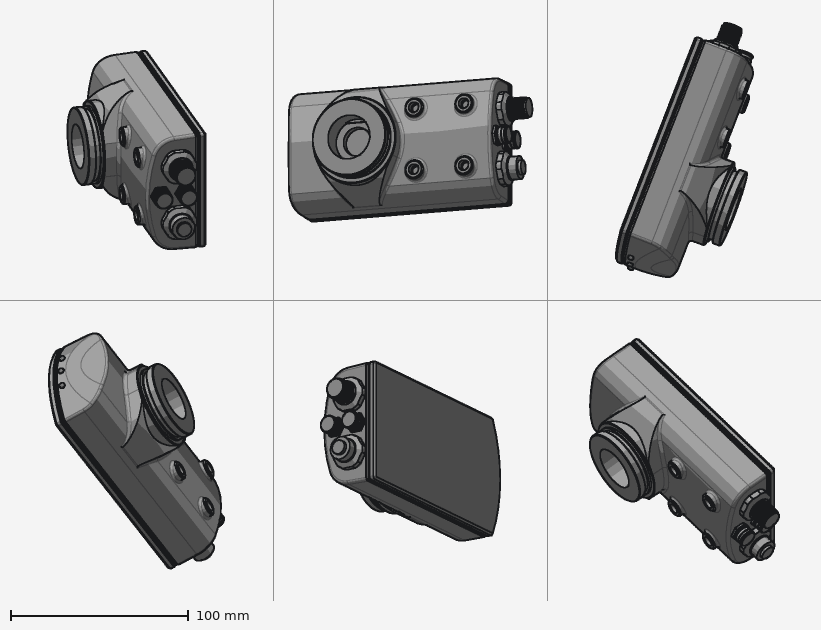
import cadquery as cq
import math


half_height = 35.1
right_end = 78.5
bow_corner_x = -41.8
bow_apex_x = -49.9
front_depth = 35.2
side_draft = 0.7
shoulder_depth = 27.9
shoulder_radius = 13.6
end_slope = 21.4
end_slope_depth = 32.6
end_slope_x = -43.5
end_blend = 24.9
end_edge_radius = 1.8

cover_thickness = 4.2
cover_back_chamfer = 1.2
cover_front_chamfer = 0.6
gap_width = 0.7
gap_inset = 0.6
lip_depth = 1.2
lip_inset = 0.3
gap_front = cover_thickness + gap_width
body_back = gap_front + lip_depth

collar_radius = 24.9
collar_front = 44.0
collar_blend = 1.9
collar_chamfer = 0.5
flange_radius = 22.1
neck_radius = 20.5
neck_back = 45.3
flange_back = 48.0
lens_front = 52.5
flange_chamfer = 0.5
bore_radius = 12.6
bore_depth = 13.2
lens_radius = 8.2
lens_depth = 4.4
ledge_height = 10.8
ledge_thickness = 1.5

wing_half_width = 7.7
wing_start_angle = 24.0
wing_tip_height = 33.9
wing_tip_depth = 23.7
wing_mid_height = 29.1
wing_mid_depth = 33.5
wing_root_height = 16.0

boss_xs = (32.9, 62.9)
boss_z = 17.8
boss_tip = 36.5
boss_radius = 5.4
boss_blend = 1.5
boss_chamfer = 0.7
boss_hole_radius = 2.9
boss_hole_depth = 4.4
boss_hole_chamfer = 0.6

lamp_radius = 1.6
lamp_depth = 9.4
lamp_tip_x = -51.5
lamp_rounding = 0.9
lamp_pitch = 12.7
lamp_setback = 1.0

connector_depth = 16.4
connector_z = 17.1
nut_radius = 10.0
nut_flat = 9.5
nut_length = 5.8
nut_cone_start = 3.2
nut_top_radius = 6.9
nut_rim_length = 0.7
plug_end = 94.7
plug_radius = 6.0
plug_tip_radius = 5.4
thread_end = 94.0
thread_pitch = 1.0
thread_depth = 0.6
socket_end = 89.3
socket_radius = 6.6
socket_core_end = 91.2
socket_core_radius = 4.1
port_depths = (12.5, 26.8)
port_flat = 5.1
port_hex_length = 1.5
port_end = 86.5
port_radius = 5.0
port_groove_radius = 4.5
port_groove_spans = ((1.6, 2.8), (5.0, 6.7))
port_chamfer = 0.5

mount_depth = 18.1
overlap = 2.9


def front_plane(depth):
    """Sketch plane facing -Y at a depth; local x is X and local y is Z."""
    return cq.Workplane("XZ", origin=(0, -depth, 0))


def disc(radius, back, front, x=0.0, z=0.0):
    """Cylinder along Y from depth back to depth front."""
    return front_plane(back).center(x, z).circle(radius).extrude(front - back)


def turned(points, depth, z):
    """Solid of revolution about an X axis line; points are (x, radius)."""
    outline = cq.Workplane("XY").polyline(points).close()
    return outline.revolve(360, (0, 0, 0), (1, 0, 0)).translate((0, -depth, z))


def plan(inset, back, front):
    """Slab with the bowed outline seen from the front."""
    half = half_height - inset
    return (
        front_plane(back)
        .moveTo(right_end - inset, -half)
        .lineTo(right_end - inset, half)
        .lineTo(bow_corner_x + inset, half)
        .threePointArc((bow_apex_x + inset, 0), (bow_corner_x + inset, -half))
        .close()
        .extrude(front - back)
    )


def make_body():
    """Housing with rounded cross-section and bowed, sloped left end."""
    side = half_height - side_draft
    section = (
        cq.Workplane("YZ", origin=(bow_apex_x, 0, 0))
        .moveTo(-body_back, half_height)
        .lineTo(-shoulder_depth, side)
        .threePointArc((-front_depth, 0), (-shoulder_depth, -side))
        .lineTo(-body_back, -half_height)
        .close()
        .extrude(right_end - bow_apex_x)
    )
    section = section.edges("|X and (not >Y)").fillet(shoulder_radius)

    block = plan(0, body_back, lens_front)
    slope = math.tan(math.radians(end_slope))
    slope_front_x = end_slope_x + slope * (lens_front - end_slope_depth)
    slope_back_x = end_slope_x - slope * end_slope_depth
    wedge = (
        cq.Workplane("XY", origin=(0, 0, -half_height))
        .moveTo(slope_back_x, 0)
        .lineTo(slope_front_x, -lens_front)
        .lineTo(slope_back_x, -lens_front)
        .close()
        .extrude(2 * half_height)
    )
    block = block.cut(wedge)
    bend = cq.selectors.BoxSelector(
        (bow_apex_x - 1.5, -end_slope_depth - 1.5, -half_height + 1.5),
        (bow_corner_x, -body_back - 1.5, half_height - 1.5),
    )
    block = block.edges(bend).fillet(end_blend)
    return section.intersect(block)


def round_end_edges(body):
    """Round the rims of the left and right end faces."""
    beyond = 1.5
    right_box = cq.selectors.BoxSelector(
        (right_end - beyond, -lens_front, -half_height - beyond),
        (right_end + beyond, -body_back - overlap, half_height + beyond),
    )
    left_box = cq.selectors.BoxSelector(
        (bow_corner_x - overlap, -front_depth - beyond, -half_height - beyond),
        (bow_corner_x + beyond, -body_back - overlap, half_height + beyond),
    )
    body = body.edges(right_box).fillet(end_edge_radius)
    return body.edges(left_box).fillet(end_edge_radius)


def make_cover():
    """Back cover, the narrow gap in front of it and the lip of the housing."""
    cover = plan(0, 0, cover_thickness).edges("|Y").fillet(end_edge_radius)
    cover = cover.faces(">Y").edges().chamfer(cover_back_chamfer)
    cover = cover.faces("<Y").edges().chamfer(cover_front_chamfer)
    gap = plan(gap_inset, cover_thickness - overlap, gap_front + overlap)
    lip = plan(lip_inset, gap_front, body_back + overlap)
    seam = gap.union(lip).edges("|Y").fillet(end_edge_radius)
    return cover.union(seam)


def wing_outline():
    """Collar circle with arched wing sides tangent to it, carried past the top and bottom."""
    angle = math.radians(wing_start_angle)
    start_x = collar_radius * math.cos(angle)
    start_z = collar_radius * math.sin(angle)
    run = wing_half_width - start_x
    rise = wing_tip_height - start_z
    side_radius = -(run**2 + rise**2) / (2 * (run * math.cos(angle) + rise * math.sin(angle)))
    center_x = start_x - side_radius * math.cos(angle)
    center_z = start_z - side_radius * math.sin(angle)
    end_z = half_height + overlap
    end_x = center_x + math.sqrt(side_radius**2 - (end_z - center_z) ** 2)
    return (
        front_plane(body_back)
        .moveTo(start_x, start_z)
        .threePointArc((wing_half_width, wing_tip_height), (end_x, end_z))
        .lineTo(-end_x, end_z)
        .threePointArc((-wing_half_width, wing_tip_height), (-start_x, start_z))
        .threePointArc((-collar_radius, 0), (-start_x, -start_z))
        .threePointArc((-wing_half_width, -wing_tip_height), (-end_x, -end_z))
        .lineTo(end_x, -end_z)
        .threePointArc((wing_half_width, -wing_tip_height), (start_x, -start_z))
        .threePointArc((collar_radius, 0), (start_x, start_z))
        .close()
    )


def add_wings(body):
    """Wings with a blended foot, trimmed by a rounded front slope."""
    wing_front = collar_front - collar_chamfer
    winged = body.union(wing_outline().extrude(wing_front - body_back))
    margin = 1.5
    foot = cq.selectors.BoxSelector(
        (-collar_radius - margin, -front_depth - margin, -half_height - margin),
        (collar_radius + margin, margin - body_back, half_height + margin),
        boundingbox=True,
    )
    winged = winged.edges(foot).fillet(collar_blend)
    reach = collar_radius + collar_blend
    slope = (
        cq.Workplane("YZ", origin=(-reach, 0, 0))
        .moveTo(-mount_depth, wing_tip_height)
        .lineTo(-wing_tip_depth, wing_tip_height)
        .threePointArc((-wing_mid_depth, wing_mid_height), (-collar_front, wing_root_height))
        .lineTo(-collar_front, -wing_root_height)
        .threePointArc((-wing_mid_depth, -wing_mid_height), (-wing_tip_depth, -wing_tip_height))
        .lineTo(-mount_depth, -wing_tip_height)
        .close()
        .extrude(2 * reach)
    )
    return body.union(winged.intersect(slope))


def add_lens(body):
    """Collar, wings, grooved lens flange and stepped bore."""
    body = add_wings(body)
    collar = disc(collar_radius, mount_depth, collar_front).edges("<Y").chamfer(collar_chamfer)
    body = body.union(collar)
    body = body.union(disc(flange_radius, collar_front - overlap, neck_back))
    body = body.union(disc(neck_radius, collar_front, lens_front))
    flange = disc(flange_radius, flange_back, lens_front).edges().chamfer(flange_chamfer)
    body = body.union(flange)

    floor = lens_front - bore_depth
    bore = disc(bore_radius, floor, lens_front)
    ledge = front_plane(floor).center(0, ledge_height + bore_radius / 2)
    bore = bore.cut(ledge.rect(2 * bore_radius, bore_radius).extrude(ledge_thickness))
    return body.cut(bore).cut(disc(lens_radius, floor - lens_depth, floor))


def add_boss(body, x, z):
    """Mounting boss with a flared foot and a chamfered blind hole."""
    body = body.union(disc(boss_radius, mount_depth, boss_tip, x, z))
    reach = boss_radius + 0.7
    foot = cq.selectors.BoxSelector(
        (x - reach, boss_chamfer - boss_tip, z - reach), (x + reach, -mount_depth, z + reach)
    )
    body = body.edges(foot).edges("not %LINE").fillet(boss_blend)
    rim = cq.selectors.BoxSelector(
        (x - reach, -boss_tip - 0.1, z - reach), (x + reach, 0.1 - boss_tip, z + reach)
    )
    body = body.edges(rim).chamfer(boss_chamfer)
    hole_bottom = boss_tip - boss_hole_depth
    hole = disc(boss_hole_radius, hole_bottom, boss_tip, x, z)
    return body.cut(hole.edges(">Y").chamfer(boss_hole_chamfer))


def make_lamp(offset):
    """Small rounded lamp on the left end."""
    tip = lamp_tip_x + (lamp_setback if offset else 0)
    lamp = cq.Workplane("YZ", origin=(tip, -lamp_depth, offset * lamp_pitch))
    return lamp.circle(lamp_radius).extrude(2 * overlap).faces("<X").edges().fillet(lamp_rounding)


def make_nut(z):
    """Round nut with six flats, a conical front and a short rim."""
    start = right_end - overlap
    cone_start = right_end + nut_cone_start
    rim_end = right_end + nut_length
    cone_end = rim_end - nut_rim_length
    points = [
        (start, 0),
        (start, nut_radius),
        (cone_start, nut_radius),
        (cone_end, nut_top_radius),
        (rim_end, nut_top_radius),
        (rim_end, 0),
    ]
    corner_diameter = 2 * nut_flat / math.cos(math.pi / 6)
    hexagon = cq.Workplane("YZ", origin=(start, -connector_depth, z)).polygon(6, corner_diameter)
    return turned(points, connector_depth, z).intersect(hexagon.extrude(nut_length + overlap))


def make_plug():
    """Threaded connector; the thread is a row of V-shaped ridges."""
    root = plug_radius - thread_depth
    thread_start = right_end + nut_length
    ridges = int((thread_end - thread_start) / thread_pitch)
    points = [(right_end, 0), (right_end, root), (thread_start, root)]
    for i in range(ridges):
        x = thread_start + i * thread_pitch
        points.append((x + thread_pitch / 2, plug_radius))
        points.append((x + thread_pitch, root))
    points += [(thread_end, plug_tip_radius), (plug_end, plug_tip_radius), (plug_end, 0)]
    return turned(points, connector_depth, connector_z).union(make_nut(connector_z))


def make_socket():
    """Plain stepped connector."""
    points = [
        (right_end, 0),
        (right_end, socket_radius),
        (socket_end, socket_radius),
        (socket_end, socket_core_radius),
        (socket_core_end, socket_core_radius),
        (socket_core_end, 0),
    ]
    return turned(points, connector_depth, -connector_z).union(make_nut(-connector_z))


def make_port(depth):
    """Small connector on a hexagonal foot, with grooves around it."""
    points = [(right_end, 0), (right_end, port_radius)]
    for groove_start, groove_end in port_groove_spans:
        points += [
            (right_end + groove_start, port_radius),
            (right_end + groove_start, port_groove_radius),
            (right_end + groove_end, port_groove_radius),
            (right_end + groove_end, port_radius),
        ]
    points += [
        (port_end - port_chamfer, port_radius),
        (port_end, port_radius - port_chamfer),
        (port_end, 0),
    ]
    corner_diameter = 2 * port_flat / math.cos(math.pi / 6)
    foot = cq.Workplane("YZ", origin=(right_end - overlap, -depth, 0)).polygon(6, corner_diameter)
    return turned(points, depth, 0).union(foot.extrude(port_hex_length + overlap))


result = round_end_edges(make_body())
result = add_lens(result)
for boss_x in boss_xs:
    for side in (-1, 1):
        result = add_boss(result, boss_x, side * boss_z)
result = result.union(make_cover())
for position in (-1, 0, 1):
    result = result.union(make_lamp(position))
result = result.union(make_plug()).union(make_socket())
for port_depth in port_depths:
    result = result.union(make_port(port_depth))